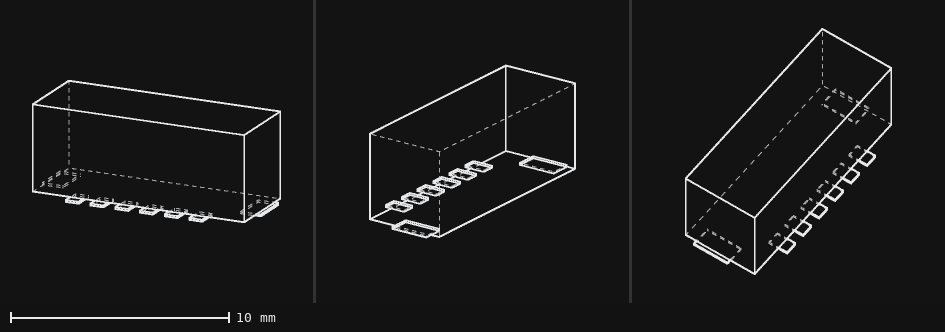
import cadquery as cq

overall_length = 11.09
overall_width = 4.37
overall_height = 4.3

terminal_thickness = 0.1

housing_length = 10.72
lead_overhang = 0.47
housing_width = overall_width - lead_overhang
housing_height = overall_height - terminal_thickness

lead_count = 6
lead_pitch = 1.25
lead_width = 0.65
lead_length = 1.04

pad_length = 1.04
pad_width = 1.9
pad_back_inset = 0.6


def make_housing():
    """Plain block resting on top of the terminals."""
    return (
        cq.Workplane("XY", origin=(0, 0, terminal_thickness))
        .box(housing_length, housing_width, housing_height, centered=(True, True, False))
    )


def make_terminal(length_x, width_y, center_x, center_y):
    """Flat rectangular terminal whose underside is at Z = 0."""
    return (
        cq.Workplane("XY", origin=(center_x, center_y, 0))
        .box(length_x, width_y, terminal_thickness, centered=(True, True, False))
    )


def make_leads():
    """Evenly spaced leads projecting past the front of the housing."""
    center_y = -housing_width / 2 - lead_overhang + lead_length / 2
    first_x = -(lead_count - 1) * lead_pitch / 2
    leads = []
    for index in range(lead_count):
        center_x = first_x + index * lead_pitch
        leads.append(make_terminal(lead_width, lead_length, center_x, center_y))
    return leads


def make_end_pads():
    """Pads at both ends, reaching out to the overall length."""
    center_x = (overall_length - pad_length) / 2
    center_y = housing_width / 2 - pad_back_inset - pad_width / 2
    pads = []
    for side in (-1, 1):
        pads.append(make_terminal(pad_length, pad_width, side * center_x, center_y))
    return pads


housing = make_housing()
leads = make_leads()
end_pads = make_end_pads()

result = cq.Compound.makeCompound([
    housing.val(),
    *[lead.val() for lead in leads],
    *[pad.val() for pad in end_pads],
])